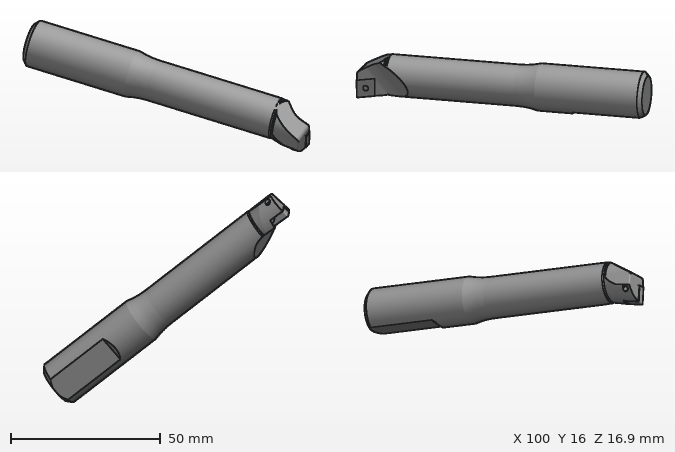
import cadquery as cq
import math


shank_radius = 8.0
shank_length = 36.8
end_chamfer = 1.4
clamp_flat_depth = 1.5
clamp_flat_length = 25.5
neck_radius = 7.0
neck_start = 44.2
neck_end = 88.3

collar_radius = 6.8
collar_start = 88.9
head_start = 89.5

head_radius = 6.9
bar_length = 99.7
flare_angle = 15.0
belly_radius = 8.4
belly_tilt = 8.0
belly_bottom = -8.5
flank_top = 0.8
flank_tilt = 10.0
top_slope_angle = 30.0
front_face_angle = 7.0
front_top_fillet = 1.6
front_flank_fillet = 0.5

gullet_start = 82.4
gullet_floor = 0.9
gullet_ramp_angle = 40.0
gullet_lean = 40.0
gullet_fillet = 7.0

overall_length = 100.0
insert_bottom = -8.9
insert_side = 6.4
insert_corner_angle = 80.0
insert_thickness = 2.4
insert_clearance = 7.0
insert_nose_radius = 0.4
insert_lean = 6.0
rake_height = 0.2

screw_radius = 0.9
screw_length = 7.0
screw_hole_length = 9.0

reach = 30.0
margin = 1.0


def make_turned_blank():
    """Shank, curved transition, neck and collar as one turned profile."""
    step = shank_radius - neck_radius
    transition_length = neck_start - shank_length
    transition_radius = (transition_length**2 + step**2) / (2 * step)
    half_sweep = math.asin(transition_length / transition_radius) / 2
    transition_middle = (
        neck_start - transition_radius * math.sin(half_sweep),
        neck_radius + transition_radius * (1 - math.cos(half_sweep)),
    )
    return (
        cq.Workplane("XZ")
        .lineTo(0, shank_radius - end_chamfer)
        .lineTo(end_chamfer, shank_radius)
        .lineTo(shank_length, shank_radius)
        .threePointArc(transition_middle, (neck_start, neck_radius))
        .lineTo(neck_end, neck_radius)
        .lineTo(collar_start, collar_radius)
        .lineTo(head_start, collar_radius)
        .lineTo(head_start, 0)
        .close()
        .revolve(360, (0, 0, 0), (1, 0, 0))
    )


def cut_clamp_flat(bar):
    """Flat under the shank, running out at 45 degrees."""
    flat_z = clamp_flat_depth - shank_radius
    flat = (
        cq.Workplane("XZ")
        .moveTo(-margin, flat_z)
        .lineTo(clamp_flat_length - clamp_flat_depth, flat_z)
        .lineTo(clamp_flat_length, -shank_radius)
        .lineTo(clamp_flat_length, -shank_radius - margin)
        .lineTo(-margin, -shank_radius - margin)
        .close()
        .extrude(reach / 2, both=True)
    )
    return bar.cut(flat)


def make_head():
    """Round head core with a flared lower half that carries a flat flank on the -Y side."""
    head_length = overall_length - head_start
    core = cq.Workplane("YZ", origin=(head_start, 0, 0)).circle(head_radius).extrude(head_length)

    flare_length = overall_length - collar_start
    flare_end_radius = collar_radius + flare_length * math.tan(math.radians(flare_angle))
    flare = (
        cq.Workplane("XZ", origin=(collar_start, 0, 0))
        .lineTo(0, collar_radius)
        .lineTo(flare_length, flare_end_radius)
        .lineTo(flare_length, 0)
        .close()
        .revolve(360, (0, 0, 0), (1, 0, 0))
    )
    tilt = math.radians(belly_tilt)
    belly_plane = cq.Plane(
        origin=(bar_length, 0, belly_bottom + belly_radius / math.cos(tilt)),
        xDir=(0, 1, 0),
        normal=(math.cos(tilt), 0, -math.sin(tilt)),
    )
    belly = cq.Workplane(belly_plane).circle(belly_radius).extrude(reach / 2, both=True)

    flank_y = -math.sqrt(head_radius**2 - flank_top**2)
    flank_run = reach * math.tan(math.radians(flank_tilt))
    below_flank = (
        cq.Workplane("YZ", origin=(collar_start, 0, 0))
        .moveTo(flank_y, flank_top)
        .lineTo(flank_y - flank_run, flank_top - reach)
        .lineTo(reach, flank_top - reach)
        .lineTo(reach, flank_top)
        .close()
        .extrude(flare_length)
    )
    return core.union(flare.intersect(belly).intersect(below_flank))


def cut_front_face(bar):
    """Front face, set back toward the -Y side."""
    setback = reach * math.tan(math.radians(front_face_angle))
    front = (
        cq.Workplane("XY")
        .moveTo(bar_length, 0)
        .lineTo(bar_length - setback, -reach)
        .lineTo(bar_length + reach, -reach)
        .lineTo(bar_length + reach, reach)
        .lineTo(bar_length + setback, reach)
        .close()
        .extrude(reach / 2, both=True)
    )
    return bar.cut(front)


def round_flank_edge(bar):
    """Small round between the flank and the front face."""
    flank_edge = cq.selectors.NearestToPointSelector((bar_length, -shank_radius, -flank_top))
    return bar.edges(flank_edge).fillet(front_flank_fillet)


def cut_top_slope(bar):
    """Sloping plane that brings the top of the head down and rounds over into the front face."""
    drop = reach * math.tan(math.radians(top_slope_angle))
    block = (
        cq.Workplane("XZ")
        .moveTo(-margin, -reach)
        .lineTo(-margin, reach)
        .lineTo(neck_end, reach)
        .lineTo(neck_end, neck_radius)
        .lineTo(neck_end + reach, neck_radius - drop)
        .lineTo(neck_end + reach, -reach)
        .close()
        .extrude(reach / 2, both=True)
    )
    top_edge_z = neck_radius - (bar_length - neck_end) * math.tan(math.radians(top_slope_angle))
    top_edge = cq.selectors.NearestToPointSelector((bar_length, 0, top_edge_z))
    envelope = cut_front_face(block).edges(top_edge).fillet(front_top_fillet)
    return bar.intersect(envelope)


def cut_gullet(bar):
    """Chip gullet: a ramp blended into a flat floor, running up and toward the tip."""
    lean = math.radians(gullet_lean)
    gullet_plane = cq.Plane(
        origin=(gullet_start, 0, 0),
        xDir=(math.cos(lean), 0, -math.sin(lean)),
        normal=(math.sin(lean), 0, math.cos(lean)),
    )
    slope = math.tan(math.radians(gullet_ramp_angle))
    ramp_foot = (neck_radius - gullet_floor) / slope
    foot_edge = cq.selectors.NearestToPointSelector(gullet_plane.toWorldCoords((ramp_foot, gullet_floor, 0)))
    ramp_head = (neck_radius - reach) / slope
    gullet = (
        cq.Workplane(gullet_plane)
        .moveTo(ramp_foot, gullet_floor)
        .lineTo(ramp_foot + reach, gullet_floor)
        .lineTo(ramp_foot + reach, reach)
        .lineTo(ramp_head, reach)
        .close()
        .extrude(reach, both=True)
        .edges(foot_edge)
        .fillet(gullet_fillet)
    )
    return bar.cut(gullet)


def make_insert_plane():
    """Rake face plane: origin at the sharp corner, local X toward -X, local Y up the front edge."""
    lean = math.radians(insert_lean)
    nose_offset = insert_nose_radius / math.tan(math.radians(insert_corner_angle / 2))
    corner_z = insert_bottom - (nose_offset - insert_nose_radius) * math.cos(lean)
    return cq.Plane(
        origin=(overall_length, rake_height, corner_z),
        xDir=(-1, 0, 0),
        normal=(0, math.cos(lean), -math.sin(lean)),
    )


def rhombus_outline(plane):
    """Closed outline of the insert on its rake face."""
    corner = math.radians(insert_corner_angle)
    side_x = insert_side * math.sin(corner)
    side_y = insert_side * math.cos(corner)
    return (
        cq.Workplane(plane)
        .lineTo(0, insert_side)
        .lineTo(side_x, insert_side + side_y)
        .lineTo(side_x, side_y)
        .close()
    )


def make_insert_blank(plane):
    """Insert without its hole, narrowing away from the rake face."""
    blank = rhombus_outline(plane).extrude(-insert_thickness, taper=insert_clearance)
    nose = cq.selectors.NearestToPointSelector(plane.toWorldCoords((0, 0, -insert_thickness / 2)))
    return blank.edges(nose).fillet(insert_nose_radius)


def rod_through_insert(plane, length):
    """Round rod through the middle of the insert, square to its rake face."""
    corner = math.radians(insert_corner_angle)
    middle_x = insert_side * math.sin(corner) / 2
    middle_y = insert_side * (1 + math.cos(corner)) / 2
    return cq.Workplane(plane).center(middle_x, middle_y).circle(screw_radius).extrude(-length)


insert_plane = make_insert_plane()
insert_blank = make_insert_blank(insert_plane)
screw = rod_through_insert(insert_plane, screw_length)
screw_hole = rod_through_insert(insert_plane, screw_hole_length)
insert = insert_blank.cut(screw_hole)

bar = make_turned_blank().union(make_head())
bar = cut_clamp_flat(bar)
bar = cut_front_face(bar)
bar = round_flank_edge(bar)
bar = cut_top_slope(bar)
bar = cut_gullet(bar)
bar = bar.cut(rhombus_outline(insert_plane).extrude(reach))
bar = bar.cut(insert_blank).cut(screw_hole)

result = cq.Compound.makeCompound([bar.solids().val(), insert.solids().val(), screw.solids().val()])